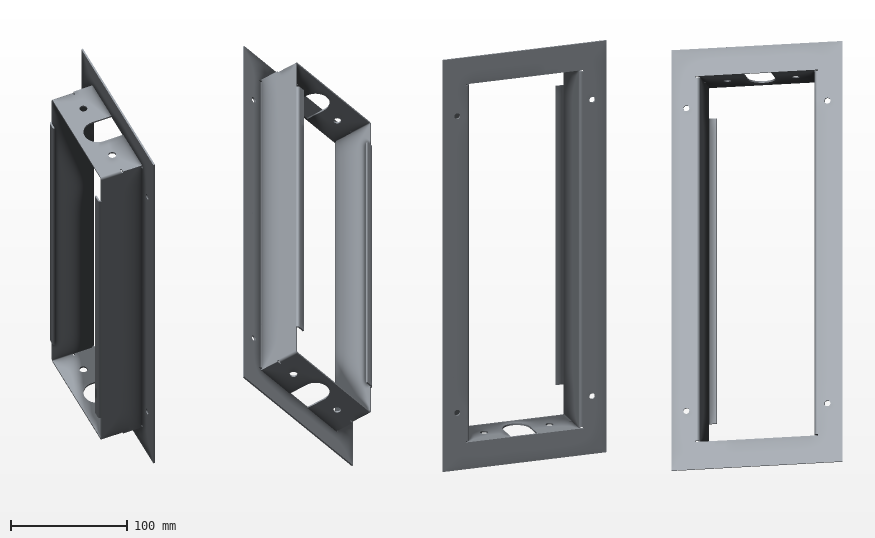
import cadquery as cq

sheet = 1.5
inner_bend = 0.95
outer_bend = inner_bend + sheet
relief_width = 1.0
relief_overrun = 1.0

plate_width = 150.0
plate_height = 375.0
depth = 42.5
box_width = 103.5
box_height = 329.2
lip_width = 8.2
lip_length = 272.2
screw_hole_diameter = 5.2
screw_hole_pitch_x = 123.8
screw_hole_pitch_z = 270.0

tab_start = 20.5
web_hole_diameter = 6.8
web_hole_pitch = 60.0
web_hole_depth = 20.0
slot_width = 24.5
slot_depth = 32.2

wall_x = box_width / 2
lip_edge_x = wall_x - lip_width
bracket_top = box_height / 2
opening_height = box_height - 2 * sheet
bracket_front = depth - outer_bend
tab_end_z = lip_length / 2


def block(x_min, x_max, y_min, y_max, z_min, z_max):
    """Box given by its limits along the three axes."""
    return cq.Workplane("XY").box(
        x_max - x_min, y_max - y_min, z_max - z_min, centered=False
    ).translate((x_min, y_min, z_min))


def make_plate():
    """Flat plate, open between the outer ends of the wall bends, with four screw holes."""
    plate = block(-plate_width / 2, plate_width / 2, -sheet, 0, -plate_height / 2, plate_height / 2)
    opening_x = wall_x + inner_bend
    opening = block(-opening_x, opening_x, -sheet, 0, -opening_height / 2, opening_height / 2)
    screw_holes = (
        cq.Workplane("XZ")
        .rarray(screw_hole_pitch_x, screw_hole_pitch_z, 2, 2)
        .circle(screw_hole_diameter / 2)
        .extrude(sheet)
    )
    return plate.cut(opening).cut(screw_holes)


def make_side_wall():
    """Wall on the +X side: bend out of the plate, wall, bend into the lip."""
    bend_x = wall_x + inner_bend
    lip_bend_x = wall_x - outer_bend
    wall = (
        cq.Workplane("XY")
        .moveTo(lip_edge_x, -depth)
        .lineTo(lip_bend_x, -depth)
        .tangentArcPoint((wall_x, -bracket_front), relative=False)
        .lineTo(wall_x, -outer_bend)
        .tangentArcPoint((bend_x, -sheet), relative=False)
        .lineTo(bend_x, 0)
        .radiusArc((wall_x - sheet, -outer_bend), -outer_bend)
        .lineTo(wall_x - sheet, -bracket_front)
        .tangentArcPoint((lip_bend_x, sheet - depth), relative=False)
        .lineTo(lip_edge_x, sheet - depth)
        .close()
        .extrude(opening_height / 2, both=True)
    )
    for z_min, z_max in ((tab_end_z, bracket_top), (-bracket_top, -tab_end_z)):
        wall = wall.cut(block(lip_edge_x, wall_x, -depth, -tab_start, z_min, z_max))
    return wall


def make_frame():
    """Plate and both side walls in one piece, slit at the four ends of the wall bends."""
    side_wall = make_side_wall()
    frame = make_plate().union(side_wall).union(side_wall.mirror("YZ"))
    slit_start = wall_x - sheet
    slit_end = wall_x + inner_bend + relief_overrun
    slit_top = opening_height / 2
    slit = block(slit_start, slit_end, -outer_bend, 0, slit_top - relief_width, slit_top)
    slits = slit.union(slit.mirror("YZ"))
    return frame.cut(slits).cut(slits.mirror("XY"))


def make_top_bracket():
    """Web across the box, with a tab bent down into the notch of each side wall."""
    web_bottom = bracket_top - sheet
    web = block(-wall_x, wall_x, -tab_start, -sheet, web_bottom, bracket_top)
    outer = block(-wall_x, wall_x, -bracket_front, -tab_start, tab_end_z, bracket_top)
    inner_x = wall_x - sheet
    inner = block(-inner_x, inner_x, -bracket_front, -tab_start, tab_end_z, web_bottom)
    tabbed_web = (
        outer.edges("|Y and >Z").fillet(outer_bend)
        .cut(inner.edges("|Y and >Z").fillet(inner_bend))
    )
    bracket = web.union(tabbed_web)

    relief_x = wall_x - outer_bend - relief_overrun
    relief = block(relief_x, wall_x, -tab_start, relief_width - tab_start, web_bottom, bracket_top)
    bracket = bracket.cut(relief).cut(relief.mirror("YZ"))

    web_plane = cq.Workplane("XY", origin=(0, 0, web_bottom))
    web_holes = (
        web_plane.pushPoints([(side * web_hole_pitch / 2, -web_hole_depth) for side in (-1, 1)])
        .circle(web_hole_diameter / 2)
        .extrude(sheet)
    )
    slot_radius = slot_width / 2
    slot = (
        web_plane.moveTo(-slot_radius, 0)
        .lineTo(-slot_radius, slot_radius - slot_depth)
        .threePointArc((0, -slot_depth), (slot_radius, slot_radius - slot_depth))
        .lineTo(slot_radius, 0)
        .close()
        .extrude(sheet)
    )
    return bracket.cut(web_holes).cut(slot)


frame = make_frame()
top_bracket = make_top_bracket()
bottom_bracket = top_bracket.mirror("XY")
brackets = [bracket.solids().val() for bracket in (top_bracket, bottom_bracket)]

result = cq.Compound.makeCompound([frame.solids().val(), *brackets])